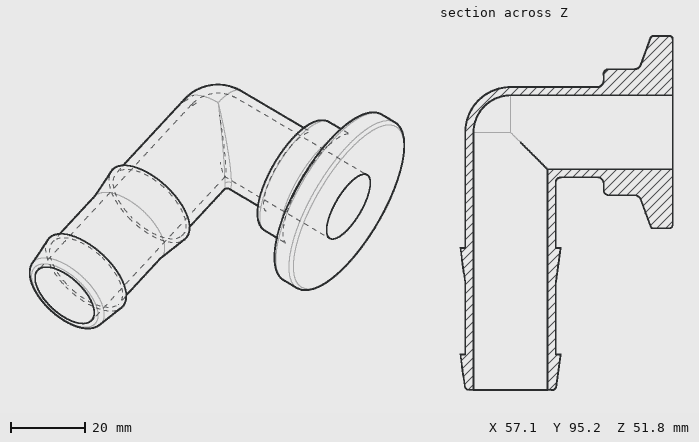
import cadquery as cq


tube_radius = 24.4 / 2
bore_radius = 19.8 / 2
barb_leg_length = 69.3
flange_leg_length = 43.6
inner_corner_fillet = 1.2

barb_radius = 27.05 / 2
barb_length = 9.6
barb_pitch = 28.7
barb_count = 2
barb_tip_fillet = 1.2

hub_radius = 34.0 / 2
hub_start = 25.0
hub_fillet = 1.5
flange_radius = 51.8 / 2
cone_start = 34.6
cone_root_fillet = 1.6
rim_start = 37.8
rim_fillet = 0.9

selection_margin = 0.1
largest_circle = cq.selectors.RadiusNthSelector(-1)


def ring_box(x, radius):
    """Selects the circular edges around the X axis at x, out to the given radius."""
    reach = radius + selection_margin
    return cq.selectors.BoxSelector(
        (x - selection_margin, -reach, -reach),
        (x + selection_margin, reach, reach),
        boundingbox=True,
    )


def seam_box():
    """Selects the outer seam, whose edges are centred beyond half the tube radius in X and -Y."""
    inset = tube_radius / 2
    return cq.selectors.BoxSelector((inset, -tube_radius, -tube_radius), (tube_radius, -inset, tube_radius))


def leg_along_x(radius):
    return cq.Workplane("YZ").circle(radius).extrude(flange_leg_length)


def leg_along_minus_y(radius):
    return cq.Workplane("XZ").circle(radius).extrude(barb_leg_length)


def elbow(radius):
    """Two legs joined by a ball that rounds the outside of the bend."""
    return leg_along_x(radius).union(leg_along_minus_y(radius)).union(cq.Workplane("XY").sphere(radius))


def barb(tip_distance):
    """Cone that narrows to the tube toward the open end of the barb leg."""
    wide_distance = tip_distance - barb_length
    return (
        cq.Workplane("XY")
        .moveTo(0, -wide_distance)
        .lineTo(barb_radius, -wide_distance)
        .lineTo(tube_radius, -tip_distance)
        .lineTo(0, -tip_distance)
        .close()
        .revolve(360, (0, 0, 0), (0, 1, 0))
    )


def hub_and_flange():
    return (
        cq.Workplane("XY")
        .moveTo(hub_start, 0)
        .lineTo(hub_start, hub_radius)
        .lineTo(cone_start, hub_radius)
        .lineTo(rim_start, flange_radius)
        .lineTo(flange_leg_length, flange_radius)
        .lineTo(flange_leg_length, 0)
        .close()
        .revolve(360, (0, 0, 0), (1, 0, 0))
    )


body = elbow(tube_radius).union(hub_and_flange())
for index in range(barb_count):
    body = body.union(barb(barb_leg_length - index * barb_pitch))

body = body.cut(elbow(bore_radius))

body = body.edges(ring_box(hub_start, hub_radius)).fillet(hub_fillet)
body = body.edges(ring_box(cone_start, hub_radius)).fillet(cone_root_fillet)
body = body.edges(ring_box(rim_start, flange_radius)).fillet(rim_fillet)
body = body.faces(">X").edges(largest_circle).fillet(rim_fillet)

body = body.faces("<Y").edges(largest_circle).fillet(barb_tip_fillet)

result = body.edges(seam_box()).fillet(inner_corner_fillet)